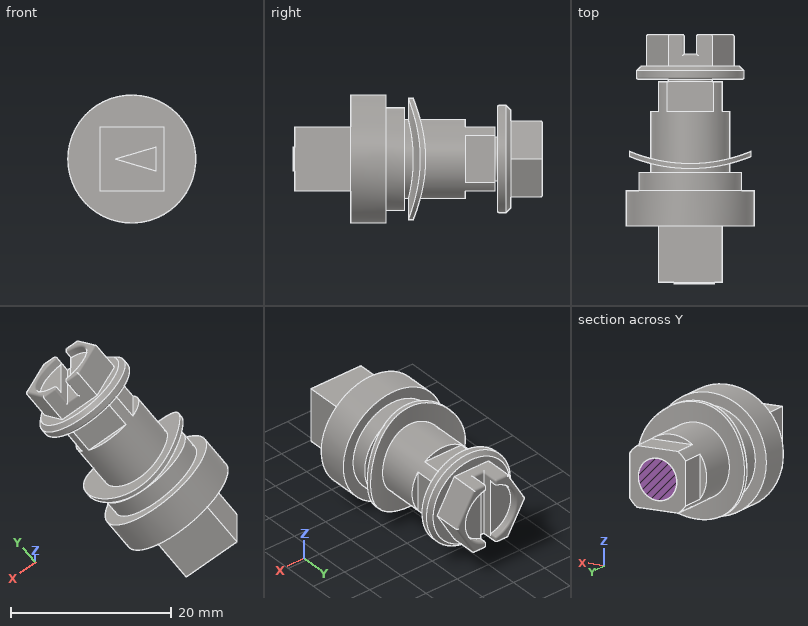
import cadquery as cq
import math

arrow_height = 0.2
arrow_back_x = 3.02
arrow_length = 5.08
arrow_half_width = 1.5
square_side = 8.0
key_length = 7.0

flange_diameter = 16.0
flange_length = 4.42
collar_diameter = 12.85
collar_length = 2.3
body_diameter = 9.9
body_length = 7.6
flats_length = 3.7
neck_diameter = 5.5
neck_length = 0.28

washer_diameter = 15.2
washer_thickness = 0.62
washer_inner_radius = 19.47
washer_gap = 0.47

head_flange_diameter = 13.45
head_flange_length = 1.68
head_flange_chamfer = 0.6
head_flange_fillet = 0.28
hex_across_corners = 11.0
slot_width = 1.5
slot_depth = 2.43
head_edge_fillet = 0.295
recess_diameter = 8.0
recess_depth = 1.12
total_length = 31.15

edge_margin = 0.03

key_start = arrow_height
flange_start = key_start + key_length
collar_start = flange_start + flange_length
body_start = collar_start + collar_length
flats_start = body_start + body_length
neck_start = flats_start + flats_length
head_flange_start = neck_start + neck_length
hex_start = head_flange_start + head_flange_length
slot_floor = total_length - slot_depth


def section_at(y):
    """Sketch plane across the shaft at y; extruding it goes toward +Y."""
    plane = cq.Plane(origin=(0, y, 0), xDir=(-1, 0, 0), normal=(0, 1, 0))
    return cq.Workplane(plane)


def disc(y, diameter, length):
    return section_at(y).circle(diameter / 2).extrude(length)


def square_bar(y, length):
    return section_at(y).rect(square_side, square_side).extrude(length)


def make_arrow():
    """Raised triangle on the end of the key, pointing toward -X."""
    tip_x = arrow_back_x - arrow_length
    outline = [(-tip_x, 0), (-arrow_back_x, arrow_half_width), (-arrow_back_x, -arrow_half_width)]
    return section_at(0).polyline(outline).close().extrude(arrow_height)


def make_shaft():
    flats = disc(flats_start, body_diameter, flats_length).intersect(square_bar(flats_start, flats_length))
    return (
        square_bar(key_start, key_length)
        .union(disc(flange_start, flange_diameter, flange_length))
        .union(disc(collar_start, collar_diameter, collar_length))
        .union(disc(body_start, body_diameter, body_length))
        .union(flats)
        .union(disc(neck_start, neck_diameter, neck_length))
    )


def make_washer():
    """Round blank cut from a curved sheet that is closest to the collar at x = 0."""
    outer_radius = washer_inner_radius + washer_thickness
    low_y = body_start + washer_gap
    bend_y = low_y + outer_radius
    sheet = (
        cq.Workplane("XY", origin=(0, bend_y, 0))
        .circle(outer_radius)
        .circle(washer_inner_radius)
        .extrude(washer_diameter / 2, both=True)
    )
    rise = washer_inner_radius - math.sqrt(washer_inner_radius**2 - (washer_diameter / 2) ** 2)
    return sheet.intersect(disc(low_y, washer_diameter, washer_thickness + rise))


def make_head_flange():
    return (
        disc(head_flange_start, head_flange_diameter, head_flange_length)
        .faces(">Y").chamfer(head_flange_chamfer)
        .faces("<Y").edges().fillet(head_flange_fillet)
    )


def make_slotted_hexagon():
    """Hexagon with corners on the X axis, a round recess in its end and a slot along Z, all rounded."""
    slot = cq.Workplane("XY").box(slot_width, slot_depth, hex_across_corners, centered=(True, False, True))
    slotted = (
        section_at(hex_start).polygon(6, hex_across_corners).extrude(total_length - hex_start)
        .cut(disc(total_length - recess_depth, recess_diameter, recess_depth))
        .cut(slot.translate((0, slot_floor, 0)))
    )
    slot_mouth_zone = cq.selectors.BoxSelector(
        (-slot_width, slot_floor - edge_margin, -hex_across_corners),
        (slot_width, total_length - edge_margin, hex_across_corners),
    )
    recess_zone = cq.selectors.BoxSelector(
        (-slot_width, total_length - recess_depth, -recess_diameter / 2),
        (slot_width, total_length, recess_diameter / 2),
    )
    end_edges = slotted.faces(">Y").edges().vals()
    slot_mouth_edges = slotted.faces("<Z or >Z").edges(slot_mouth_zone).vals()
    recess_wall_edges = slotted.edges("|Y").edges(recess_zone).vals()
    return slotted.newObject(end_edges + slot_mouth_edges + recess_wall_edges).fillet(head_edge_fillet)


result = (
    make_shaft()
    .union(make_arrow())
    .union(make_washer())
    .union(make_head_flange())
    .union(make_slotted_hexagon())
)